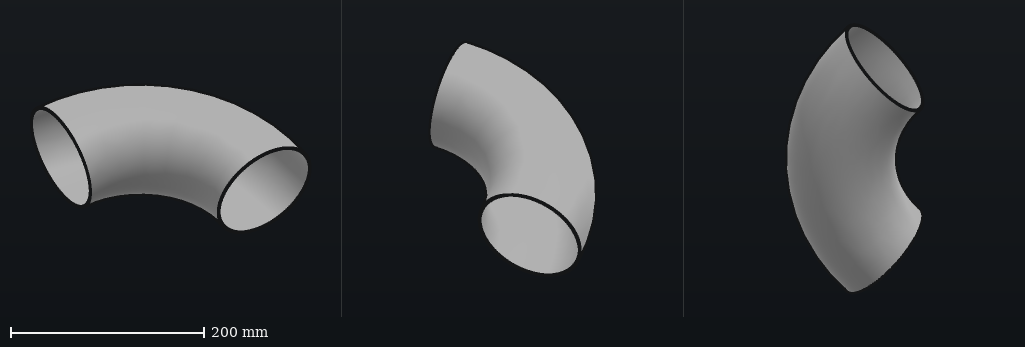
import cadquery as cq

outer_diameter = 114.3
wall_thickness = 2.0
bend_radius = 152.0
bend_angle = 90.0

outer_radius = outer_diameter / 2
inner_radius = outer_radius - wall_thickness


def pipe_bend():
    """Revolve the ring section at the -Y end about a vertical axis on its +X side."""
    section = cq.Workplane("XZ").circle(outer_radius).circle(inner_radius)
    axis_start = (bend_radius, 0)
    axis_end = (bend_radius, -1)
    return section.revolve(bend_angle, axis_start, axis_end)


result = pipe_bend()